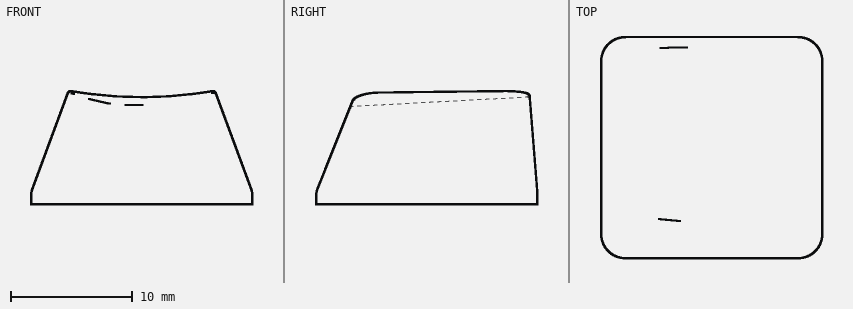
import cadquery as cq
import math

base_size = 18.16
corner_radius = 2.0
corner_taper = 0.01

blend_start = 0.73
blend_end = 1.29

body_top = 10.53
side_wall_slope = 0.37
front_wall_slope = 0.4
back_wall_slope = 0.08

dish_half_width = 6.0
dish_back_y = 8.35
dish_back_rim = 9.32
dish_back_center = 8.8
dish_front_y = -6.27
dish_front_rim = 9.17
dish_front_center = 8.03
rim_fillet_radius = 0.25

clearance_half_width = 10.9
clearance_top = 19.98
clearance_end = 4.54


def section(height):
    """Sketch of the body outline at a height, with the walls leaning in above the skirt."""
    if height <= blend_start:
        run = 0
    elif height < blend_end:
        run = (height - blend_start) ** 2 / (2 * (blend_end - blend_start))
    else:
        run = height - (blend_start + blend_end) / 2
    width = base_size - 2 * side_wall_slope * run
    depth = base_size - (front_wall_slope + back_wall_slope) * run
    center_y = (front_wall_slope - back_wall_slope) * run / 2
    radius = corner_radius - corner_taper * run
    outline = cq.Sketch().rect(width, depth).vertices().fillet(radius)
    return outline.moved(cq.Location(cq.Vector(0, center_y, height)))


def make_body():
    """Vertical skirt, curved blend and sloped walls, still flat on top."""
    blend_middle = (blend_start + blend_end) / 2
    blend_sections = [section(blend_start), section(blend_middle), section(blend_end)]
    skirt = cq.Workplane().placeSketch(section(0)).extrude(blend_start)
    blend = cq.Workplane().placeSketch(*blend_sections).loft()
    walls = cq.Workplane().placeSketch(section(blend_end), section(body_top)).loft(ruled=True)
    return skirt.union(blend).union(walls)


def along_dish(back_value, front_value, y):
    """Value at y on the straight line through the back and front values."""
    return back_value + (front_value - back_value) * (dish_back_y - y) / (dish_back_y - dish_front_y)


def dish_profile(y):
    """Closed cut profile at y, whose lower edge is the dish arc."""
    rim = along_dish(dish_back_rim, dish_front_rim, y)
    center = along_dish(dish_back_center, dish_front_center, y)
    sag = rim - center
    radius = (dish_half_width**2 + sag**2) / (2 * sag)
    reach = clearance_half_width
    edge = center + radius - math.sqrt(radius**2 - reach**2)
    left, right = cq.Vector(-reach, y, edge), cq.Vector(reach, y, edge)
    top_left, top_right = cq.Vector(-reach, y, clearance_top), cq.Vector(reach, y, clearance_top)
    return cq.Wire.assembleEdges([
        cq.Edge.makeThreePointArc(left, cq.Vector(0, y, center), right),
        cq.Edge.makeLine(right, top_right),
        cq.Edge.makeLine(top_right, top_left),
        cq.Edge.makeLine(top_left, left),
    ])


def make_dish_cutter():
    front = dish_profile(dish_front_y - clearance_end)
    back = dish_profile(dish_back_y + clearance_end)
    return cq.Workplane(cq.Solid.makeLoft([front, back], True))


body = make_body().cut(make_dish_cutter())

dish_face = body.faces(cq.selectors.NearestToPointSelector((0, 0, body_top)))
result = dish_face.edges().fillet(rim_fillet_radius)